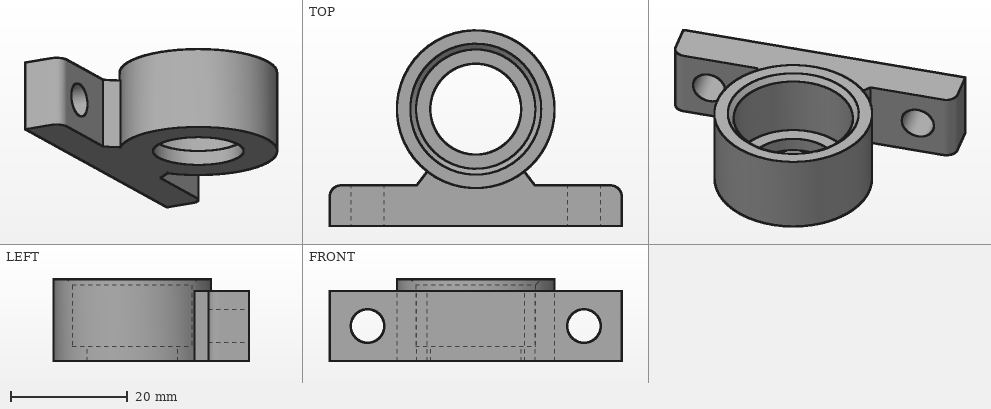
import cadquery as cq

plate_length = 50.0
plate_depth = 7.0
plate_height = 12.0
corner_radius = 2.0
screw_hole_diameter = 5.7
screw_hole_spacing = 37.0

ring_diameter = 27.0
ring_height = 14.0
ring_center_y = 20.0
bore_diameter = 20.4
through_diameter = 15.5
floor_thickness = 2.5
rim_chamfer = 1.0

web_base_half_width = 10.1
web_tip_half_width = 7.5
web_tip_y = 10.4


def ring_cylinder():
    """Solid outer cylinder of the ring."""
    return (
        cq.Workplane("XY", origin=(0, ring_center_y, 0))
        .circle(ring_diameter / 2)
        .extrude(ring_height)
    )


def mounting_plate():
    """Rectangular plate with rounded vertical edges on the ring side."""
    return (
        cq.Workplane("XY")
        .box(plate_length, plate_depth, plate_height, centered=(True, False, False))
        .edges("|Z and >Y")
        .fillet(corner_radius)
    )


def web():
    """Tapered block whose far end is buried inside the ring wall."""
    return (
        cq.Workplane("XY")
        .moveTo(-web_base_half_width, plate_depth)
        .lineTo(web_base_half_width, plate_depth)
        .lineTo(web_tip_half_width, web_tip_y)
        .lineTo(-web_tip_half_width, web_tip_y)
        .close()
        .extrude(plate_height)
    )


def screw_holes():
    """Two holes running through the plate along Y at mid height."""
    half_spacing = screw_hole_spacing / 2
    return (
        cq.Workplane("XZ", origin=(0, 0, plate_height / 2))
        .pushPoints([(-half_spacing, 0), (half_spacing, 0)])
        .circle(screw_hole_diameter / 2)
        .extrude(-plate_depth)
    )


def stepped_bore():
    """Bearing seat with a chamfered mouth above a smaller through hole."""
    through_radius = through_diameter / 2
    seat_radius = bore_diameter / 2
    mouth_radius = seat_radius + rim_chamfer
    return (
        cq.Workplane("XZ", origin=(0, ring_center_y, 0))
        .lineTo(through_radius, 0)
        .lineTo(through_radius, floor_thickness)
        .lineTo(seat_radius, floor_thickness)
        .lineTo(seat_radius, ring_height - rim_chamfer)
        .lineTo(mouth_radius, ring_height)
        .lineTo(0, ring_height)
        .close()
        .revolve(360, (0, 0), (0, 1))
    )


body = mounting_plate().union(web()).union(ring_cylinder())
result = body.cut(screw_holes()).cut(stepped_bore())